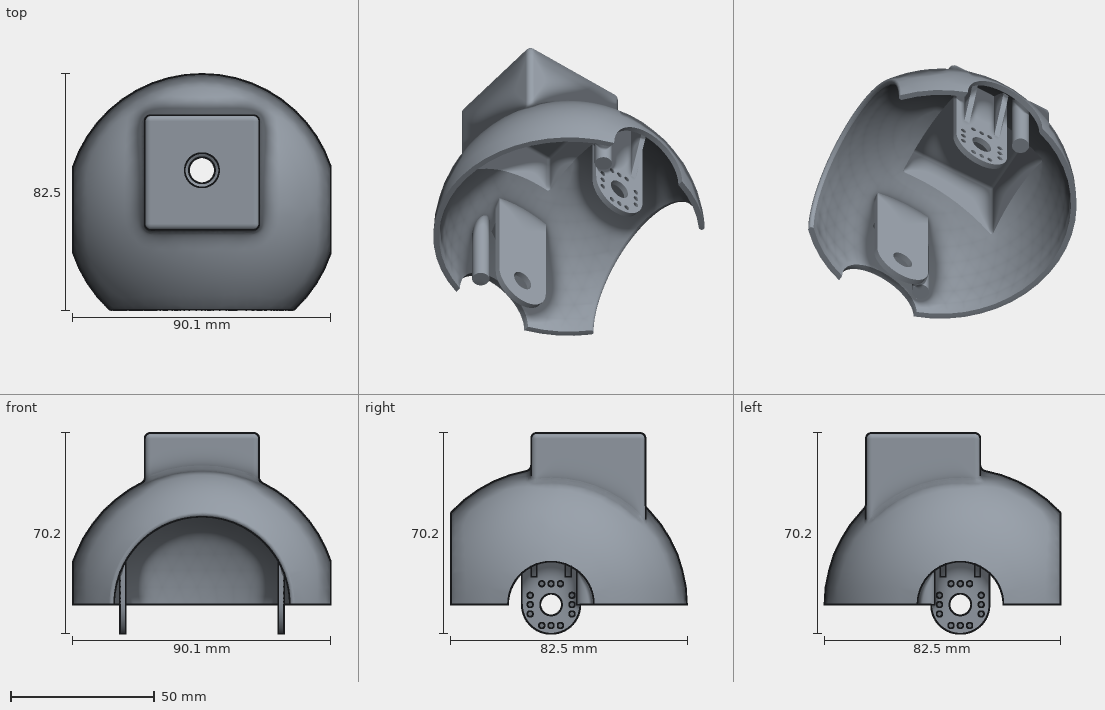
import cadquery as cq
import math

DOME_RADIUS = 47.5
DOME_WALL = 2.0
DOME_INNER_RADIUS = DOME_RADIUS - DOME_WALL

FRONT_OPENING_RADIUS = 30.7
FRONT_RIM_FILLET = 1.0
SIDE_OPENING_RADIUS = 15.0

HOUSING_SIDE = 40.0
HOUSING_CENTER_Y = 13.0
HOUSING_TOP_Z = 60.0
HOUSING_WALL = 2.0
HOUSING_FILLET = 2.0
HOUSING_INNER_FILLET = 1.0
HOUSING_BASE_FILLET = 2.0
SEAM_MARGIN = 1.0
SEAM_TOLERANCE = 1e-3

ROOF_HOLE_DIAMETER = 9.0
COUNTERSINK_DIAMETER = 12.0
COUNTERSINK_DEPTH = 1.0
ROOF_HOLE_Y = 13.8

PLATE_INNER_X = 26.6
PLATE_THICKNESS = 2.1
PLATE_OUTER_X = PLATE_INNER_X + PLATE_THICKNESS
PLATE_RADIUS = 10.25
PLATE_BORE_DIAMETER = 7.5
PIN_HOLE_DIAMETER = 2.0
PIN_HOLE_DEPTH = 1.0
PIN_ROW_OFFSET = 7.3
PIN_PITCH = 3.25

GUSSET_THICKNESS = 2.0
GUSSET_OFFSET_Y = 6.0
GUSSET_BOTTOM_Z = 9.8
GUSSET_SLOPE = 70.0

POST_DIAMETER = 6.0
POST_X = 35.0
POST_Y = 12.0


def half_ball(radius):
    """Upper half of a ball centred on the origin."""
    ball = cq.Workplane("XY").sphere(radius)
    upper_space = cq.Workplane("XY").box(
        2 * DOME_RADIUS, 2 * DOME_RADIUS, DOME_RADIUS, centered=(True, True, False)
    )
    return ball.intersect(upper_space)


def housing_block(side, top_z, edge_fillet):
    """Square block standing on the base plane, rounded on its upright and top edges."""
    block = (
        cq.Workplane("XY")
        .center(0, HOUSING_CENTER_Y)
        .rect(side, side)
        .extrude(top_z)
    )
    return block.edges("|Z or >Z").fillet(edge_fillet)


def make_outer_body():
    """Solid dome and housing with a filleted seam between them."""
    housing = housing_block(HOUSING_SIDE, HOUSING_TOP_Z, HOUSING_FILLET)
    body = half_ball(DOME_RADIUS).union(housing)
    reach = HOUSING_SIDE / 2 + SEAM_MARGIN
    seam_region = cq.selectors.BoxSelector(
        (-reach, HOUSING_CENTER_Y - reach, SEAM_MARGIN),
        (reach, HOUSING_CENTER_Y + reach, DOME_RADIUS),
    )

    def on_dome(edge):
        ends = [edge.startPoint(), edge.endPoint(), edge.positionAt(0.5)]
        return all(abs(point.Length - DOME_RADIUS) < SEAM_TOLERANCE for point in ends)

    seam = [edge for edge in body.edges(seam_region).vals() if on_dome(edge)]
    return body.newObject(seam).fillet(HOUSING_BASE_FILLET)


def cut_front_opening(body):
    """Arched opening on the -Y side with a rounded outer rim."""
    opening = cq.Workplane("XZ").circle(FRONT_OPENING_RADIUS).extrude(DOME_RADIUS)
    body = body.cut(opening)
    rim_y = -math.sqrt(DOME_RADIUS**2 - FRONT_OPENING_RADIUS**2)
    rim = cq.selectors.NearestToPointSelector((0, rim_y, FRONT_OPENING_RADIUS))
    return body.edges(rim).fillet(FRONT_RIM_FILLET)


def make_cavity():
    """Space inside the dome and the housing."""
    housing_cavity = housing_block(
        HOUSING_SIDE - 2 * HOUSING_WALL, HOUSING_TOP_Z - HOUSING_WALL, HOUSING_INNER_FILLET
    )
    return half_ball(DOME_INNER_RADIUS).union(housing_cavity)


def make_side_openings():
    """Round cutter along X that arches both sides of the dome."""
    return cq.Workplane("YZ").circle(SIDE_OPENING_RADIUS).extrude(DOME_RADIUS, both=True)


def make_roof_hole():
    """Cutter for the countersunk hole in the housing roof."""
    radius = ROOF_HOLE_DIAMETER / 2
    hole = (
        cq.Workplane("XY", origin=(0, ROOF_HOLE_Y, HOUSING_TOP_Z))
        .circle(radius)
        .extrude(-2 * HOUSING_WALL)
    )
    countersink = cq.Solid.makeCone(
        radius,
        COUNTERSINK_DIAMETER / 2,
        COUNTERSINK_DEPTH,
        pnt=cq.Vector(0, ROOF_HOLE_Y, HOUSING_TOP_Z - COUNTERSINK_DEPTH),
        dir=cq.Vector(0, 0, 1),
    )
    return hole.union(cq.Workplane(countersink))


def make_plate():
    """Bearing plate on the +X side with a round lower end, a bore and blind pin holes in its outer face."""
    plane = cq.Workplane("YZ", origin=(PLATE_INNER_X, 0, 0))
    plate = (
        plane.moveTo(-PLATE_RADIUS, DOME_RADIUS)
        .lineTo(-PLATE_RADIUS, 0)
        .threePointArc((0, -PLATE_RADIUS), (PLATE_RADIUS, 0))
        .lineTo(PLATE_RADIUS, DOME_RADIUS)
        .close()
        .extrude(PLATE_THICKNESS)
    )
    pin_points = []
    for step in (-PIN_PITCH, 0, PIN_PITCH):
        for side in (-PIN_ROW_OFFSET, PIN_ROW_OFFSET):
            pin_points += [(step, side), (side, step)]
    bore = plane.circle(PLATE_BORE_DIAMETER / 2).extrude(PLATE_THICKNESS)
    pins = (
        plane.workplane(offset=PLATE_THICKNESS)
        .pushPoints(pin_points)
        .circle(PIN_HOLE_DIAMETER / 2)
        .extrude(-PIN_HOLE_DEPTH)
    )
    return plate.cut(bore).cut(pins)


def make_gusset(center_y):
    """Brace from the plate to the dome with an underside sloping up steeply."""
    rise = DOME_RADIUS - GUSSET_BOTTOM_Z
    reach = rise / math.tan(math.radians(GUSSET_SLOPE))
    return (
        cq.Workplane("XZ", origin=(0, center_y + GUSSET_THICKNESS / 2, 0))
        .moveTo(PLATE_OUTER_X, GUSSET_BOTTOM_Z)
        .lineTo(PLATE_OUTER_X + reach, DOME_RADIUS)
        .lineTo(PLATE_OUTER_X, DOME_RADIUS)
        .close()
        .extrude(GUSSET_THICKNESS)
    )


def make_post():
    """Round post on the +X side, rising from the base plane into the dome wall."""
    return (
        cq.Workplane("XY")
        .center(POST_X, POST_Y)
        .circle(POST_DIAMETER / 2)
        .extrude(DOME_RADIUS)
    )


def make_inner_fittings():
    """Plates, gussets and posts on both sides, trimmed to the middle of the dome wall."""
    fittings = make_plate().union(make_post())
    for center_y in (-GUSSET_OFFSET_Y, GUSSET_OFFSET_Y):
        fittings = fittings.union(make_gusset(center_y))
    envelope = cq.Workplane("XY").sphere(DOME_RADIUS - DOME_WALL / 2)
    fittings = fittings.intersect(envelope)
    return fittings.union(fittings.mirror("YZ"))


shell = cut_front_opening(make_outer_body())
shell = shell.cut(make_cavity()).cut(make_side_openings()).cut(make_roof_hole())
result = shell.union(make_inner_fittings())